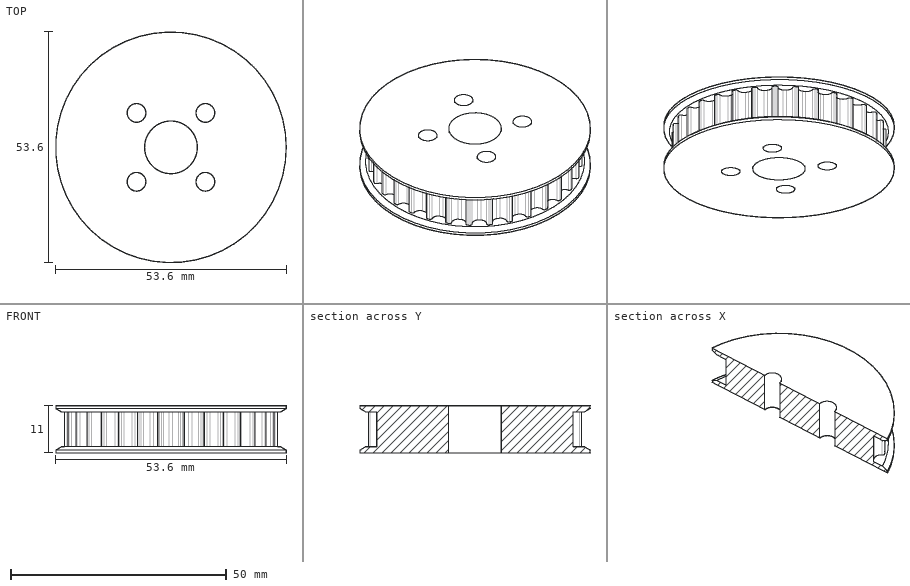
import cadquery as cq
import math

TOOTH_COUNT = 32
TOOTH_PITCH = 5.0
PITCH_LINE_OFFSET = 0.5715
PITCH_RADIUS = TOOTH_COUNT * TOOTH_PITCH / (2 * math.pi)
TIP_RADIUS = PITCH_RADIUS - PITCH_LINE_OFFSET

GROOVE_DEPTH = 2.06
GROOVE_HALF_WIDTH = 1.7
GROOVE_FLOOR_HALF_WIDTH = 0.4
TOOTH_CORNER_RADIUS = 0.45

TOTAL_HEIGHT = 11.0
FLANGE_RADIUS = 53.64 / 2
FLANGE_THICKNESS = 1.5
RIM_THICKNESS = 0.7
FLANGE_SEAT_RADIUS = PITCH_RADIUS
BELT_WIDTH = TOTAL_HEIGHT - 2 * FLANGE_THICKNESS

BORE_DIAMETER = 12.2
BOLT_HOLE_DIAMETER = 4.3
BOLT_SPACING = 16.0


def arc_point(centre, radius, angle):
    return (centre[0] + radius * math.cos(angle), centre[1] + radius * math.sin(angle))


def make_groove_cutter():
    """Groove between two teeth, centred on +X and open outwards past the tooth tips."""
    tooth_centre_radius = TIP_RADIUS - TOOTH_CORNER_RADIUS
    tooth_centre_y = GROOVE_HALF_WIDTH + TOOTH_CORNER_RADIUS
    tip_angle = math.asin(tooth_centre_y / tooth_centre_radius)
    widest_x = tooth_centre_radius * math.cos(tip_angle)
    tooth_centre = (widest_x, tooth_centre_y)
    tooth_middle = arc_point(tooth_centre, TOOTH_CORNER_RADIUS, (tip_angle - math.pi / 2) / 2)
    tip_point = arc_point(tooth_centre, TOOTH_CORNER_RADIUS, tip_angle)

    floor_x = TIP_RADIUS - GROOVE_DEPTH
    side_height = widest_x - floor_x
    side_width = GROOVE_HALF_WIDTH - GROOVE_FLOOR_HALF_WIDTH
    side_radius = (side_height**2 + side_width**2) / (2 * side_width)
    side_centre = (widest_x, GROOVE_HALF_WIDTH - side_radius)
    side_middle_angle = math.radians(135)
    side_middle = arc_point(side_centre, side_radius, side_middle_angle)

    half_groove = (
        cq.Workplane("XY")
        .workplane(offset=FLANGE_THICKNESS)
        .moveTo(floor_x, 0)
        .lineTo(floor_x, GROOVE_FLOOR_HALF_WIDTH)
        .threePointArc(side_middle, (widest_x, GROOVE_HALF_WIDTH))
        .threePointArc(tooth_middle, tip_point)
        .lineTo(FLANGE_RADIUS, tip_point[1])
        .lineTo(FLANGE_RADIUS, 0)
        .close()
        .extrude(BELT_WIDTH)
    )
    return half_groove.union(half_groove.mirror("XZ")).clean()


def make_toothed_ring():
    ring = cq.Workplane("XY").workplane(offset=FLANGE_THICKNESS).circle(TIP_RADIUS).extrude(BELT_WIDTH)
    cutter = make_groove_cutter()
    for index in range(TOOTH_COUNT):
        ring = ring.cut(cutter.rotate((0, 0, 0), (0, 0, 1), index * 360 / TOOTH_COUNT), clean=False)
    return ring


def make_flange():
    """Bottom flange, resting on Z = 0 with its cone facing up."""
    return (
        cq.Workplane("XZ")
        .lineTo(FLANGE_RADIUS, 0)
        .lineTo(FLANGE_RADIUS, RIM_THICKNESS)
        .lineTo(FLANGE_SEAT_RADIUS, FLANGE_THICKNESS)
        .lineTo(0, FLANGE_THICKNESS)
        .close()
        .revolve(360, (0, 0), (0, 1))
    )


def cut_holes(body):
    return (
        body.faces(">Z").workplane(origin=(0, 0, 0)).hole(BORE_DIAMETER)
        .faces(">Z").workplane(origin=(0, 0, 0))
        .rect(BOLT_SPACING, BOLT_SPACING, forConstruction=True)
        .vertices()
        .hole(BOLT_HOLE_DIAMETER)
    )


bottom_flange = make_flange()
top_flange = bottom_flange.mirror("XY", (0, 0, TOTAL_HEIGHT / 2))
result = cut_holes(make_toothed_ring().union(bottom_flange).union(top_flange))